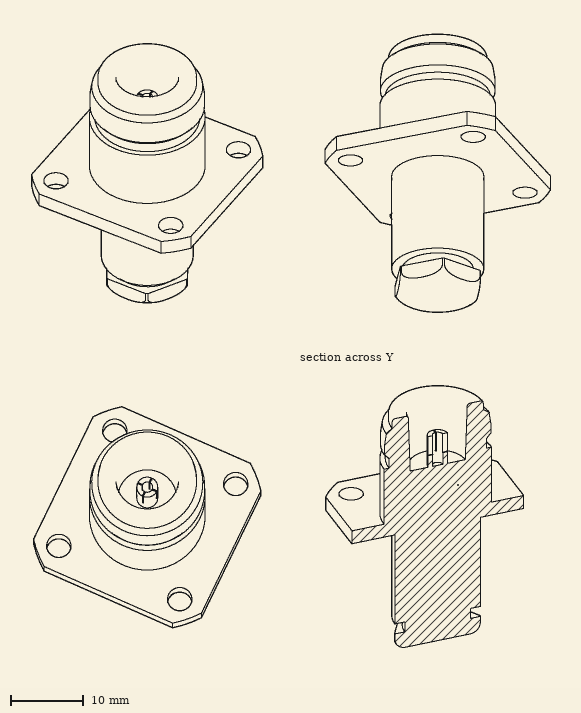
import cadquery as cq
import math

total_height = 37.02
nut_height = 2.55
neck_top = 4.07
flange_bottom = 18.32
flange_thickness = 2.15

flange_side = 25.4
flange_corner_radius = 16.0
mount_hole_spacing = 18.3
mount_hole_diameter = 3.35

cable_body_radius = 6.33
neck_radius = 4.9
barrel_radius = 7.95
barrel_top = 29.3
relief_radius = 7.22
relief_top = 30.73
thread_radius = 7.9
thread_bottom = 31.5
thread_top = 33.17
shoulder_radius = 7.63
shoulder_height = 34.87
rim_radius = 6.77
rim_bottom = 35.55
rim_fillet = 0.5

nut_across_flats = 11.1
nut_corner_radius = 6.33
nut_end_fillet = 1.6

mouth_radius = 4.33
socket_floor_radius = 4.05
mouth_fillet = 0.48
socket_depth = 8.9

contact_radius = 1.45
contact_bore_radius = 0.75
contact_recess = 4.07
contact_slot_width = 0.15
contact_slot_depth = 2.95


def make_body():
    """Revolve the stepped outside of the connector above the nut."""
    outline = [
        (0, nut_height),
        (neck_radius, nut_height),
        (neck_radius, neck_top),
        (cable_body_radius, neck_top),
        (cable_body_radius, flange_bottom),
        (barrel_radius, flange_bottom),
        (barrel_radius, barrel_top),
        (relief_radius, barrel_top),
        (relief_radius, relief_top),
        (thread_radius, thread_bottom),
        (thread_radius, thread_top),
        (shoulder_radius, shoulder_height),
        (rim_radius, rim_bottom),
        (rim_radius, total_height),
        (0, total_height),
    ]
    body = cq.Workplane("XZ").polyline(outline).close().revolve(360, (0, 0), (0, 1))
    return body.faces(">Z").edges().fillet(rim_fillet)


def make_flange():
    """Square plate with corners turned to a circle about the axis, and four mounting holes."""
    plate = (
        cq.Workplane("XY")
        .workplane(offset=flange_bottom)
        .rect(flange_side, flange_side)
        .extrude(flange_thickness)
    )
    corner_trim = (
        cq.Workplane("XY")
        .workplane(offset=flange_bottom)
        .circle(flange_corner_radius)
        .extrude(flange_thickness)
    )
    holes = (
        cq.Workplane("XY")
        .workplane(offset=flange_bottom)
        .rect(mount_hole_spacing, mount_hole_spacing, forConstruction=True)
        .vertices()
        .circle(mount_hole_diameter / 2)
        .extrude(flange_thickness)
    )
    return plate.intersect(corner_trim).cut(holes)


def make_nut():
    """Hexagon with corners on the X axis, trimmed by a round-ended cylinder."""
    nut_across_corners = nut_across_flats / math.cos(math.pi / 6)
    hexagon = cq.Workplane("XY").polygon(6, nut_across_corners).extrude(nut_height)
    envelope = (
        cq.Workplane("XY")
        .circle(nut_corner_radius)
        .extrude(nut_height)
        .faces("<Z")
        .edges()
        .fillet(nut_end_fillet)
    )
    return hexagon.intersect(envelope)


def make_socket():
    """Cutter for the bore, narrowing evenly from the mouth to the floor."""
    outline = [
        (0, total_height - socket_depth),
        (socket_floor_radius, total_height - socket_depth),
        (mouth_radius, total_height),
        (0, total_height),
    ]
    return cq.Workplane("XZ").polyline(outline).close().revolve(360, (0, 0), (0, 1))


def make_contact():
    """Hollow pin split by two crossed slots."""
    contact_top = total_height - contact_recess
    contact_length = socket_depth - contact_recess
    contact = (
        cq.Workplane("XY")
        .workplane(offset=contact_top)
        .circle(contact_radius)
        .circle(contact_bore_radius)
        .extrude(-contact_length)
    )
    for angle in (0, 90):
        slot = (
            cq.Workplane("XY")
            .workplane(offset=contact_top)
            .transformed(rotate=(0, 0, angle))
            .rect(2 * contact_radius, contact_slot_width)
            .extrude(-contact_slot_depth)
        )
        contact = contact.cut(slot)
    return contact


def round_mouth(body):
    """Round the edge where the socket opens through the end face."""
    return body.faces(">Z").edges(cq.selectors.RadiusNthSelector(0)).fillet(mouth_fillet)


shell = make_body().cut(make_socket())
shell = round_mouth(shell)
result = shell.union(make_flange()).union(make_nut()).union(make_contact())